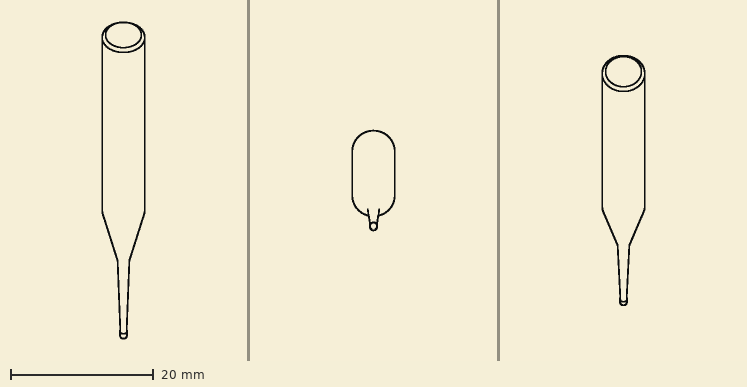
import cadquery as cq

total_length = 60.0
shank_radius = 3.0
shank_chamfer = 0.5

cone_top_z = 25.2
cone_bottom_z = 15.9
cone_bottom_radius = 0.95

neck_top_z = 15.2
neck_top_radius = 0.85
neck_taper_bottom_z = 2.15
neck_bottom_radius = 0.5

head_top_z = 1.25
head_radius = 0.51


def make_holder():
    """Revolve the shank, cone, blend and neck as one solid."""
    return (
        cq.Workplane("XZ")
        .moveTo(0, head_top_z)
        .lineTo(neck_bottom_radius, head_top_z)
        .lineTo(neck_bottom_radius, neck_taper_bottom_z)
        .lineTo(neck_top_radius, neck_top_z)
        .tangentArcPoint((cone_bottom_radius, cone_bottom_z), relative=False)
        .lineTo(shank_radius, cone_top_z)
        .lineTo(shank_radius, total_length - shank_chamfer)
        .lineTo(shank_radius - shank_chamfer, total_length)
        .lineTo(0, total_length)
        .close()
        .revolve(360, (0, 0, 0), (0, 1, 0))
    )


def make_cutting_head():
    """Revolve the straight cutting length with its hemispherical tip."""
    return (
        cq.Workplane("XZ")
        .moveTo(0, 0)
        .radiusArc((head_radius, head_radius), -head_radius)
        .lineTo(head_radius, head_top_z)
        .lineTo(0, head_top_z)
        .close()
        .revolve(360, (0, 0, 0), (0, 1, 0))
    )


holder = make_holder()
cutting_head = make_cutting_head()

result = cq.Compound.makeCompound([holder.val(), cutting_head.val()])